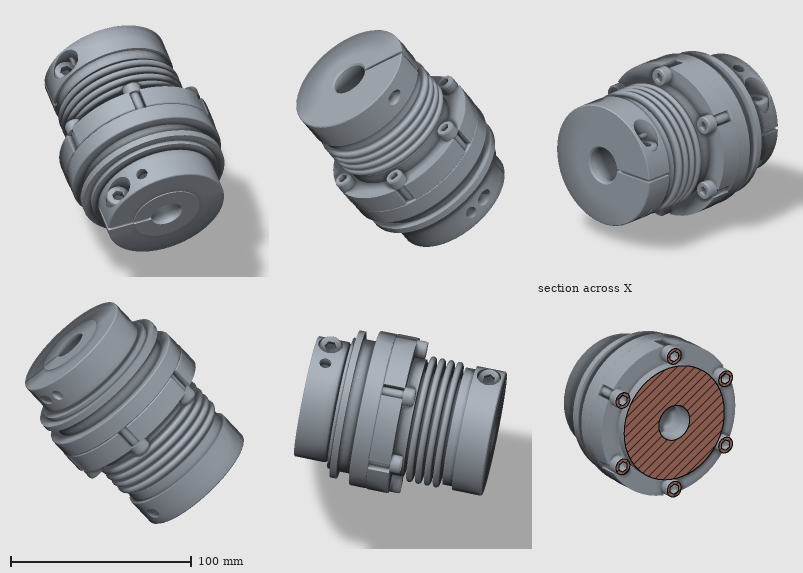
import cadquery as cq
import math


clamp_end = 16.6
bellows_start = 22.5
bellows_end = 44.7
flange_start = 51.4
ring_start = 63.3
sleeve_start = 73.4
disc_start = 81.0
disc_end = 84.6
limiter_end = 86.9
cone_end = 88.1
bore_taper_start = 90.3
bore_taper_end = 91.8
hub_end = 106.5
boss_end = 107.0

clamp_dia = 70.2
collar_dia = 66.2
flange_dia = 88.0
ring_dia = 87.3
sleeve_dia = 74.9
disc_dia = 83.2
end_ring_dia = 74.0
hub_dia = 68.0
cone_dia = 55.7
boss_dia = 38.5
clamp_bore_dia = 20.0
hub_bore_dia = 18.0

clamp_chamfer = 0.5
flange_chamfer = 0.4
ring_fillet = 0.7
hub_front_fillet = 1.4
hub_back_fillet = 0.7
bore_chamfer = 1.0

bellows_dia = 71.0
root_dia = 52.3
crest_count = 4
crest_pitch = 5.0
crest_width = 3.3
root_rise = 0.9

flange_screw_count = 6
flange_screw_dia = 6.0
flange_head_dia = 10.0
flange_head_height = 6.0
flange_hex = 5.0
flange_slot_width = 6.5
flange_screw_radius = (flange_dia - flange_head_dia) / 2

clamp_screw_dia = 8.0
clamp_screw_length = 25.0
clamp_head_dia = 13.0
clamp_head_height = 8.0
clamp_hex = 6.0
counterbore_dia = 13.5
tap_hole_dia = 6.8
slit_width = 2.0
left_screw_x = 8.2
left_screw_y = -25.0
left_screw_seat = 9.0
right_screw_x = 98.1
right_screw_y = -25.5
right_screw_seat = 9.6

pin_dia = 3.0
pin_radius = 28.0
pin_angle = 45

radial_hole_dia = 6.5
radial_hole_depth = 5.8
radial_hole_clearance = 2.1
upper_hole_tilt = 20
lower_hole_tilt = 150

head_edge_width = 0.4
head_edge_height = 1.0
drill_point_angle = 118


def point_depth(dia):
    """Depth of the conical bottom of a drilled hole."""
    return dia / 2 / math.tan(math.radians(drill_point_angle / 2))


def drilled_hole(dia, depth):
    """Blind hole that goes down from the origin and ends in a cone."""
    radius = dia / 2
    outline = [(0, 0), (radius, 0), (radius, -depth), (0, -depth - point_depth(dia))]
    return cq.Workplane("XZ").polyline(outline).close().revolve(360, (0, 0, 0), (0, 1, 0))


def cap_screw(dia, length, head_dia, head_height, hex_size, hex_turn):
    """Socket head screw pointing down, with the underside of its head at the origin."""
    top_radius = head_dia / 2 - head_edge_width
    edge_start = head_height - head_edge_height
    outline = [
        (0, -length),
        (dia / 2, -length),
        (dia / 2, 0),
        (head_dia / 2, 0),
        (head_dia / 2, edge_start),
        (top_radius, head_height),
        (0, head_height),
    ]
    body = cq.Workplane("XZ").polyline(outline).close().revolve(360, (0, 0, 0), (0, 1, 0))
    hex_corners = hex_size / math.cos(math.pi / 6)
    drill = drilled_hole(hex_corners, head_height / 2)
    socket = cq.Workplane("XY").polygon(6, hex_corners).extrude(-head_height)
    socket = socket.rotate((0, 0, 0), (0, 0, 1), hex_turn).intersect(drill)
    return body.cut(socket.translate((0, 0, head_height)))


def turned_body():
    """Hubs, bellows and torque limiter turned as one outline, before boring."""
    profile = (
        cq.Workplane("XY")
        .lineTo(0, clamp_dia / 2 - clamp_chamfer)
        .lineTo(clamp_chamfer, clamp_dia / 2)
        .lineTo(clamp_end, clamp_dia / 2)
        .lineTo(clamp_end, collar_dia / 2)
        .lineTo(bellows_start, collar_dia / 2)
    )

    wall_bottom = root_dia / 2 + root_rise
    wall_top = bellows_dia / 2 - crest_width / 2
    first_crest = (bellows_start + bellows_end - (crest_count - 1) * crest_pitch) / 2
    valley_start = bellows_start
    for index in range(crest_count):
        crest = first_crest + index * crest_pitch
        wall_left = crest - crest_width / 2
        wall_right = crest + crest_width / 2
        profile = (
            profile.lineTo(valley_start, wall_bottom)
            .threePointArc(((valley_start + wall_left) / 2, root_dia / 2), (wall_left, wall_bottom))
            .lineTo(wall_left, wall_top)
            .threePointArc((crest, bellows_dia / 2), (wall_right, wall_top))
        )
        valley_start = wall_right

    profile = (
        profile.lineTo(valley_start, wall_bottom)
        .threePointArc(((valley_start + bellows_end) / 2, root_dia / 2), (bellows_end, wall_bottom))
        .lineTo(bellows_end, collar_dia / 2)
        .lineTo(flange_start, collar_dia / 2)
        .lineTo(flange_start, flange_dia / 2)
        .lineTo(ring_start - flange_chamfer, flange_dia / 2)
        .lineTo(ring_start, flange_dia / 2 - flange_chamfer)
        .lineTo(ring_start, ring_dia / 2 - ring_fillet)
        .radiusArc((ring_start + ring_fillet, ring_dia / 2), ring_fillet)
        .lineTo(sleeve_start - ring_fillet, ring_dia / 2)
        .radiusArc((sleeve_start, ring_dia / 2 - ring_fillet), ring_fillet)
        .lineTo(sleeve_start, sleeve_dia / 2)
        .lineTo(disc_start, sleeve_dia / 2)
        .lineTo(disc_start, disc_dia / 2)
        .lineTo(disc_end, disc_dia / 2)
        .lineTo(disc_end, end_ring_dia / 2)
        .lineTo(limiter_end, end_ring_dia / 2)
        .lineTo(limiter_end, cone_dia / 2)
        .lineTo(cone_end, hub_dia / 2 - hub_front_fillet)
        .radiusArc((cone_end + hub_front_fillet, hub_dia / 2), hub_front_fillet)
        .lineTo(hub_end - hub_back_fillet, hub_dia / 2)
        .radiusArc((hub_end, hub_dia / 2 - hub_back_fillet), hub_back_fillet)
        .lineTo(hub_end, boss_dia / 2)
        .lineTo(boss_end, boss_dia / 2)
        .lineTo(boss_end, 0)
        .close()
    )
    return profile.revolve(360, (0, 0, 0), (1, 0, 0))


def bore(body):
    """Shaft bore with a chamfered mouth in the left hub and a taper to the smaller right bore."""
    left_radius = clamp_bore_dia / 2
    right_radius = hub_bore_dia / 2
    outline = [
        (0, 0),
        (0, left_radius + bore_chamfer),
        (bore_chamfer, left_radius),
        (bore_taper_start, left_radius),
        (bore_taper_end, right_radius),
        (boss_end, right_radius),
        (boss_end, 0),
    ]
    return body.cut(cq.Workplane("XY").polyline(outline).close().revolve(360, (0, 0, 0), (1, 0, 0)))


def clamp(body, x, y, seat, slit_start, slit_end, hub_radius, hex_turn):
    """Clamping slit on the -Y side of a hub, with its counterbored screw across it."""
    slit = cq.Workplane("XY").box(
        slit_end - slit_start, hub_radius, slit_width, centered=(False, False, True)
    )
    body = body.cut(slit.translate((slit_start, -hub_radius, 0)))
    axis = cq.Workplane("XY", origin=(x, y, 0))
    counterbore = axis.workplane(offset=seat).circle(counterbore_dia / 2).extrude(hub_radius)
    tap_hole = axis.circle(tap_hole_dia / 2).extrude(-hub_radius)
    screw = cap_screw(
        clamp_screw_dia, clamp_screw_length, clamp_head_dia, clamp_head_height, clamp_hex, hex_turn
    )
    return body.cut(counterbore).cut(tap_hole).union(screw.translate((x, y, seat)))


def retaining_pin():
    """Pin parallel to the shaft that crosses the left counterbore above the screw head."""
    y = -pin_radius * math.cos(math.radians(pin_angle))
    z = pin_radius * math.sin(math.radians(pin_angle))
    reach = counterbore_dia / 2
    return cq.Workplane("YZ", origin=(left_screw_x - reach, y, z)).circle(pin_dia / 2).extrude(2 * reach)


def radial_hole(tilt):
    """Blind hole in the right hub, tilted from +Z towards -Y."""
    hole = drilled_hole(radial_hole_dia, radial_hole_depth + radial_hole_clearance)
    hole = hole.translate((right_screw_x, 0, hub_dia / 2 + radial_hole_clearance))
    return hole.rotate((0, 0, 0), (1, 0, 0), tilt)


def fit_flange_screws(body):
    """Screws around the flange, each in a slot that is open at the rim."""
    slot_length = flange_dia / 2
    slot_depth = ring_start - flange_start
    slot_base = cq.Workplane("YZ", origin=(flange_start, 0, 0))
    slot = slot_base.center(0, flange_screw_radius).circle(flange_slot_width / 2).extrude(slot_depth)
    slot = slot.union(
        slot_base.center(0, flange_screw_radius + slot_length / 2)
        .rect(flange_slot_width, slot_length)
        .extrude(slot_depth)
    )
    screw = cap_screw(
        flange_screw_dia, slot_depth, flange_head_dia, flange_head_height, flange_hex, 0
    ).rotate((0, 0, 0), (0, 1, 0), -90)

    screws = []
    for index in range(flange_screw_count):
        angle = index * 360 / flange_screw_count
        body = body.cut(slot.rotate((0, 0, 0), (1, 0, 0), angle))
        y = -flange_screw_radius * math.sin(math.radians(angle))
        z = flange_screw_radius * math.cos(math.radians(angle))
        screws.append(screw.translate((flange_start, y, z)))
    for placed_screw in screws:
        body = body.union(placed_screw)
    return body


result = bore(turned_body())
result = clamp(
    result, left_screw_x, left_screw_y, left_screw_seat, 0, clamp_end, clamp_dia / 2, 30
)
result = result.union(retaining_pin())
result = clamp(
    result, right_screw_x, right_screw_y, right_screw_seat, limiter_end, boss_end, hub_dia / 2, 0
)
for hole_tilt in (upper_hole_tilt, lower_hole_tilt):
    result = result.cut(radial_hole(hole_tilt))
result = fit_flange_screws(result)